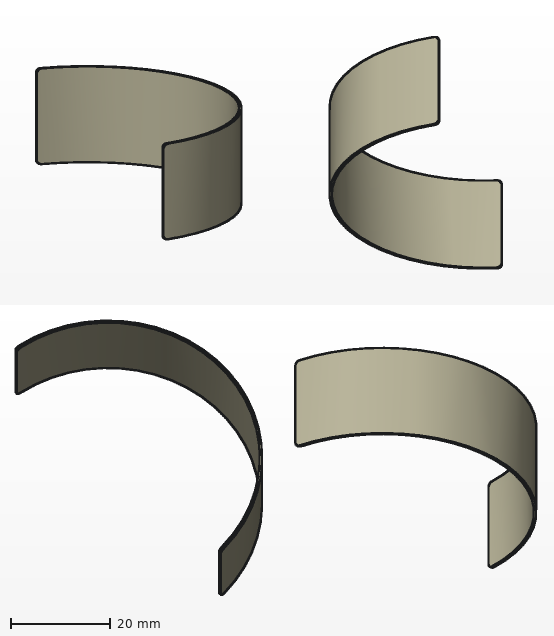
import cadquery as cq
import math

OUTER_RADIUS = 31.0
THICKNESS = 0.5
HEIGHT = 20.0
END_ANGLE = 5.0
CORNER_RADIUS = 1.0

INNER_RADIUS = OUTER_RADIUS - THICKNESS


def polar_point(radius, angle_deg):
    """Point on a circle about the band axis, angle measured from +X."""
    angle = math.radians(angle_deg)
    return (radius * math.cos(angle), radius * math.sin(angle))


def curved_band():
    """Thin cylindrical band, open toward -Y, with radial end faces."""
    start_angle = END_ANGLE
    middle_angle = 90.0
    finish_angle = 180.0 - END_ANGLE
    return (
        cq.Workplane("XY")
        .moveTo(*polar_point(OUTER_RADIUS, start_angle))
        .threePointArc(
            polar_point(OUTER_RADIUS, middle_angle),
            polar_point(OUTER_RADIUS, finish_angle),
        )
        .lineTo(*polar_point(INNER_RADIUS, finish_angle))
        .threePointArc(
            polar_point(INNER_RADIUS, middle_angle),
            polar_point(INNER_RADIUS, start_angle),
        )
        .close()
        .extrude(HEIGHT)
    )


def round_corners(band):
    """Round the short through-thickness edges at the ends of the band."""
    return band.edges("#Z").edges("%LINE").fillet(CORNER_RADIUS)


result = round_corners(curved_band())